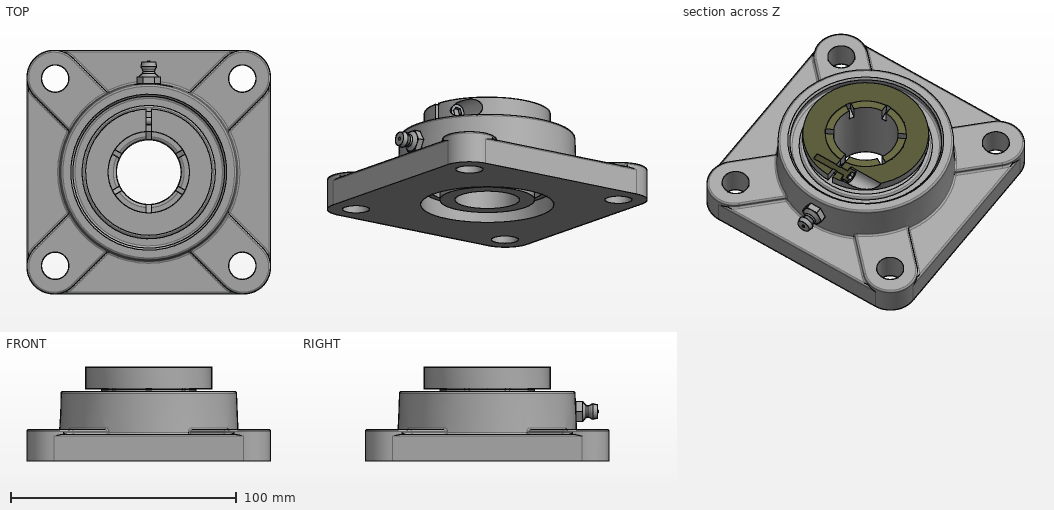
import cadquery as cq
import math

FLANGE_SIDE = 108.0
CORNER_RADIUS = 12.0
FLANGE_HEIGHT = 11.9
ARM_HEIGHT = 14.0
CAST_FILLET = 0.81
BOLT_HOLE_DIAMETER = 12.0
BOLT_OFFSET = 41.5

HUB_BASE_RADIUS = 39.6
HUB_TOP_RADIUS = 38.9
HUB_TOP = 30.9
HUB_RIM_FILLET = 0.9
MOUTH_DIAMETER = 69.1
MOUTH_WALL_DIAMETER = 67.3
MOUTH_CORNER_RADIUS = 1.0

BEARING_CENTER = 17.5
SEAT_RADIUS = 31.0
MOUTH_FLOOR = 26.9
OUTER_RING_HALF_WIDTH = 10.3
OUTER_RING_EDGE = 0.9
OUTER_RING_BORE = 52.0
SEAL_DIAMETER = 54.0
SEAL_BORE = 42.5
SEAL_THICKNESS = 1.5
SEAL_CROWN = 0.4

BORE_DIAMETER = 28.6
INNER_RING_DIAMETER = 42.0
INNER_RING_BOTTOM = 2.2
SHOULDER_TOP = 31.8
SLEEVE_RADIUS = 18.0
SLEEVE_TOP = 40.1
SLEEVE_EDGE_FILLET = 1.4
SLOT_WIDTH = 2.3
SLOT_COUNT = 6
SLOT_FLOOR = 30.0

COLLAR_RADIUS = 28.0
COLLAR_BOTTOM = 32.1
COLLAR_TOP = 41.7

SCREW_Y = 22.7
SCREW_SHANK_DIAMETER = 3.2
SCREW_HEAD_DIAMETER = 7.0
COUNTERBORE_DIAMETER = 8.2
SCREW_SEAT_X = -4.9
SCREW_HEAD_LENGTH = 3.2
SCREW_SHANK_LENGTH = 16.2
SOCKET_WIDTH = 4.0
SOCKET_DEPTH = 1.6
SOCKET_TURN = 10.0

FITTING_Z = 22.0
STEM_DIAMETER = 6.0
STEM_START = 34.0
HEX_WIDTH = 9.0
HEX_BASE = 39.3
HEX_TOP = 42.2
NECK_DIAMETER = 5.1
NECK_END_DIAMETER = 5.6
NECK_CENTER = 44.6
NECK_HALF_LENGTH = 0.9
HEAD_END_DIAMETER = 6.0
HEAD_DIAMETER = 7.0
HEAD_BULGE = 46.8
FITTING_TIP = 48.9
BALL_DIAMETER = 1.5
BALL_CENTER = 48.6

HEX_SIDES = 6
TOLERANCE = 0.001

SCREW_Z = (COLLAR_BOTTOM + COLLAR_TOP) / 2
OUTER_RING_TOP = BEARING_CENTER + OUTER_RING_HALF_WIDTH
ARM_CENTER = FLANGE_SIDE / 2 - CORNER_RADIUS
SLAB_SIDE = FLANGE_SIDE + 4 * CORNER_RADIUS
SEAT_MOUTH_RADIUS = math.sqrt(SEAT_RADIUS**2 - (MOUTH_FLOOR - BEARING_CENTER) ** 2)


def disc(diameter, bottom, top):
    return cq.Workplane("XY").workplane(offset=bottom).circle(diameter / 2).extrude(top - bottom)


def revolved(points):
    """Ring turned about Z from (radius, height) points."""
    return cq.Workplane("XZ").polyline(points).close().revolve(360, (0, 0, 0), (0, 1, 0))


def cylinder_y(diameter, start, end, z):
    """Round bar along Y."""
    return cq.Workplane("XZ", origin=(0, start, z)).circle(diameter / 2).extrude(start - end)


def cylinder_x(diameter, start, end):
    """Round bar along X on the screw axis."""
    return cq.Workplane("YZ", origin=(start, SCREW_Y, SCREW_Z)).circle(diameter / 2).extrude(end - start)


def slot_box(height):
    """Box along +Y from the Z axis, as wide as the slots, from z = 0."""
    return cq.Workplane("XY").box(SLOT_WIDTH, FLANGE_SIDE / 2, height, centered=(True, False, False))


def is_at_height(edge, height):
    box = edge.BoundingBox()
    return max(abs(box.zmin - height), abs(box.zmax - height)) < TOLERANCE


def reach(edge):
    """Greatest distance of the edge's middle from the Z axis along X or Y."""
    middle = edge.Center()
    return max(abs(middle.x), abs(middle.y))


def is_hub_arc(edge):
    return edge.geomType() == "CIRCLE" and edge.radius() > HUB_TOP_RADIUS - CAST_FILLET


def fillet_edges(body, radius, wanted):
    return body.newObject([edge for edge in body.edges().vals() if wanted(edge)]).fillet(radius)


def rounded_square(side, height):
    corner_radius = CORNER_RADIUS - (FLANGE_SIDE - side) / 2
    return cq.Workplane("XY").rect(side, side).extrude(height).edges("|Z").fillet(corner_radius)


def make_arms():
    """Two crossing bars whose round ends are the raised corners of the flange."""
    length = 2 * (math.hypot(ARM_CENTER, ARM_CENTER) + CORNER_RADIUS)
    bars = [
        cq.Workplane("XY").slot2D(length, 2 * CORNER_RADIUS, angle).extrude(ARM_HEIGHT)
        for angle in (45, -45)
    ]
    return bars[0].union(bars[1])


def make_trim():
    """Space inside the flange's outline, with the flange's top edge rounded between the arms."""
    cushion = rounded_square(FLANGE_SIDE, FLANGE_HEIGHT).faces(">Z").edges().fillet(CAST_FILLET)
    core = rounded_square(FLANGE_SIDE - 2 * CAST_FILLET, HUB_TOP)
    return cushion.union(core).union(make_arms())


def make_casting():
    """Square flange, corner arms and hub, with their rounded edges."""
    casting = cq.Workplane("XY").rect(SLAB_SIDE, SLAB_SIDE).extrude(FLANGE_HEIGHT).union(make_arms())
    hub = revolved(
        [
            (0, 0),
            (HUB_BASE_RADIUS, 0),
            (HUB_BASE_RADIUS, FLANGE_HEIGHT),
            (HUB_TOP_RADIUS, HUB_TOP),
            (0, HUB_TOP),
        ]
    )
    casting = casting.union(hub)

    def arm_top(edge):
        return is_at_height(edge, ARM_HEIGHT) and not is_hub_arc(edge)

    def foot(edge):
        return is_at_height(edge, FLANGE_HEIGHT) and reach(edge) < FLANGE_SIDE / 2

    def arm_to_hub(edge):
        return is_at_height(edge, ARM_HEIGHT) and is_hub_arc(edge)

    def hub_rim(edge):
        return is_at_height(edge, HUB_TOP)

    casting = fillet_edges(casting, CAST_FILLET, arm_top)
    casting = fillet_edges(casting, CAST_FILLET, foot).intersect(make_trim())
    casting = fillet_edges(casting, CAST_FILLET, arm_to_hub)
    return fillet_edges(casting, HUB_RIM_FILLET, hub_rim)


def make_housing():
    """Casting with bolt holes, the grease hole, the bearing seat and the stepped mouth above it."""
    bolt_holes = (
        cq.Workplane("XY")
        .rect(2 * BOLT_OFFSET, 2 * BOLT_OFFSET, forConstruction=True)
        .vertices()
        .circle(BOLT_HOLE_DIAMETER / 2)
        .extrude(ARM_HEIGHT)
    )
    mouth_rim_radius = MOUTH_DIAMETER / 2
    mouth_wall_radius = MOUTH_WALL_DIAMETER / 2
    mouth_chamfer = mouth_rim_radius - mouth_wall_radius
    corner_turn = MOUTH_CORNER_RADIUS * math.sqrt(0.5)
    corner_center_radius = mouth_wall_radius - MOUTH_CORNER_RADIUS
    corner_center_height = MOUTH_FLOOR + MOUTH_CORNER_RADIUS
    mouth = (
        cq.Workplane("XZ")
        .moveTo(0, MOUTH_FLOOR)
        .lineTo(corner_center_radius, MOUTH_FLOOR)
        .threePointArc(
            (corner_center_radius + corner_turn, corner_center_height - corner_turn),
            (mouth_wall_radius, corner_center_height),
        )
        .lineTo(mouth_wall_radius, HUB_TOP - mouth_chamfer)
        .lineTo(mouth_rim_radius, HUB_TOP)
        .lineTo(0, HUB_TOP)
        .close()
        .revolve(360, (0, 0, 0), (0, 1, 0))
    )
    seat = seat_ball().intersect(disc(FLANGE_SIDE, 0, MOUTH_FLOOR))
    back_bore = disc(2 * SEAT_MOUTH_RADIUS, 0, BEARING_CENTER)
    grease_hole = cylinder_y(STEM_DIAMETER, STEM_START, HUB_BASE_RADIUS, FITTING_Z)
    return make_casting().cut(bolt_holes).cut(mouth).cut(seat).cut(back_bore).cut(grease_hole)


def seat_ball():
    return cq.Workplane("XY").sphere(SEAT_RADIUS).translate((0, 0, BEARING_CENTER))


def make_outer_ring():
    """Ring with a spherical outside, rounded edges and a recess for the seal."""
    bottom = 2 * BEARING_CENTER - OUTER_RING_TOP
    blank = disc(2 * SEAT_MOUTH_RADIUS, bottom, OUTER_RING_TOP).edges().fillet(OUTER_RING_EDGE)
    belt = seat_ball().intersect(disc(FLANGE_SIDE, 2 * BEARING_CENTER - MOUTH_FLOOR, MOUTH_FLOOR))
    bore = disc(OUTER_RING_BORE, bottom, OUTER_RING_TOP)
    seal_recess = disc(SEAL_DIAMETER, OUTER_RING_TOP - SEAL_THICKNESS, OUTER_RING_TOP)
    return blank.union(belt).cut(bore).cut(seal_recess)


def make_seal():
    """Flat ring whose top rises slightly towards its bore."""
    bottom = OUTER_RING_TOP - SEAL_THICKNESS
    return revolved(
        [
            (SEAL_BORE / 2, bottom),
            (SEAL_DIAMETER / 2, bottom),
            (SEAL_DIAMETER / 2, OUTER_RING_TOP),
            (SEAL_BORE / 2, OUTER_RING_TOP + SEAL_CROWN),
        ]
    )


def make_inner_ring():
    """Bored ring with a thinner sleeve on top, slotted into fingers for the clamping collar."""
    body = disc(INNER_RING_DIAMETER, INNER_RING_BOTTOM, SHOULDER_TOP)
    sleeve = disc(2 * SLEEVE_RADIUS, SHOULDER_TOP, SLEEVE_TOP)
    bore = disc(BORE_DIAMETER, INNER_RING_BOTTOM, SLEEVE_TOP)
    ring = body.union(sleeve).cut(bore)
    bore_edge = cq.selectors.RadiusNthSelector(0)
    ring = ring.faces(">Z").edges(bore_edge).fillet(SLEEVE_EDGE_FILLET)
    slot_zone = revolved(
        [
            (0, SLOT_FLOOR),
            (BORE_DIAMETER / 2, SLOT_FLOOR),
            (SLEEVE_RADIUS, SHOULDER_TOP),
            (SLEEVE_RADIUS, SLEEVE_TOP),
            (0, SLEEVE_TOP),
        ]
    )
    slot = slot_zone.intersect(slot_box(SLEEVE_TOP))
    for index in range(SLOT_COUNT):
        ring = ring.cut(slot.rotate((0, 0, 0), (0, 0, 1), index * 360 / SLOT_COUNT))
    return ring


def make_collar():
    """Split ring with a counterbored hole for the clamping screw across the split."""
    collar = disc(2 * COLLAR_RADIUS, COLLAR_BOTTOM, COLLAR_TOP)
    collar = collar.cut(disc(2 * SLEEVE_RADIUS, COLLAR_BOTTOM, COLLAR_TOP))
    collar = collar.cut(slot_box(COLLAR_TOP))
    counterbore = cylinder_x(COUNTERBORE_DIAMETER, -COLLAR_RADIUS, SCREW_SEAT_X)
    shank_hole = cylinder_x(SCREW_SHANK_DIAMETER, SCREW_SEAT_X, SCREW_SEAT_X + SCREW_SHANK_LENGTH)
    return collar.cut(counterbore).cut(shank_hole)


def make_screw():
    """Socket-head screw lying along X."""
    head_face = SCREW_SEAT_X - SCREW_HEAD_LENGTH
    head = cylinder_x(SCREW_HEAD_DIAMETER, head_face, SCREW_SEAT_X)
    shank = cylinder_x(SCREW_SHANK_DIAMETER, SCREW_SEAT_X, SCREW_SEAT_X + SCREW_SHANK_LENGTH)
    socket = (
        cq.Workplane("YZ", origin=(head_face, SCREW_Y, SCREW_Z))
        .transformed(rotate=(0, 0, SOCKET_TURN))
        .polygon(HEX_SIDES, hexagon_diameter(SOCKET_WIDTH))
        .extrude(SOCKET_DEPTH)
    )
    return head.union(shank).cut(socket)


def hexagon_diameter(width):
    """Diameter through the corners of a hexagon with the given width across flats."""
    return width / math.cos(math.pi / HEX_SIDES)


def make_fitting(housing):
    """Hexagon nipple along Y, with its stem in the hub and its foot fitted to the hub's outside."""
    outline = [
        (0, HEX_TOP),
        (HEX_WIDTH / 2, HEX_TOP),
        (NECK_END_DIAMETER / 2, NECK_CENTER - NECK_HALF_LENGTH),
        (NECK_DIAMETER / 2, NECK_CENTER),
        (NECK_END_DIAMETER / 2, NECK_CENTER + NECK_HALF_LENGTH),
        (HEAD_DIAMETER / 2, HEAD_BULGE),
        (HEAD_END_DIAMETER / 2, FITTING_TIP),
        (0, FITTING_TIP),
    ]
    nipple = (
        cq.Workplane("XY", origin=(0, 0, FITTING_Z))
        .polyline(outline)
        .close()
        .revolve(360, (0, 0, 0), (0, 1, 0))
    )
    ball = cq.Workplane("XY").sphere(BALL_DIAMETER / 2).translate((0, BALL_CENTER, FITTING_Z))
    hexagon = (
        cq.Workplane("XZ", origin=(0, HEX_BASE, FITTING_Z))
        .polygon(HEX_SIDES, hexagon_diameter(HEX_WIDTH))
        .extrude(HEX_BASE - HEX_TOP)
    )
    stem = cylinder_y(STEM_DIAMETER, STEM_START, HEX_TOP, FITTING_Z)
    return nipple.union(ball).union(hexagon.cut(housing)).union(stem)


housing = make_housing()
outer_ring = make_outer_ring()
seal = make_seal()
inner_ring = make_inner_ring()
collar = make_collar()
screw = make_screw()
fitting = make_fitting(housing)

result = cq.Compound.makeCompound(
    [
        housing.val(),
        outer_ring.val(),
        seal.val(),
        inner_ring.val(),
        collar.val(),
        screw.val(),
        fitting.val(),
    ]
)